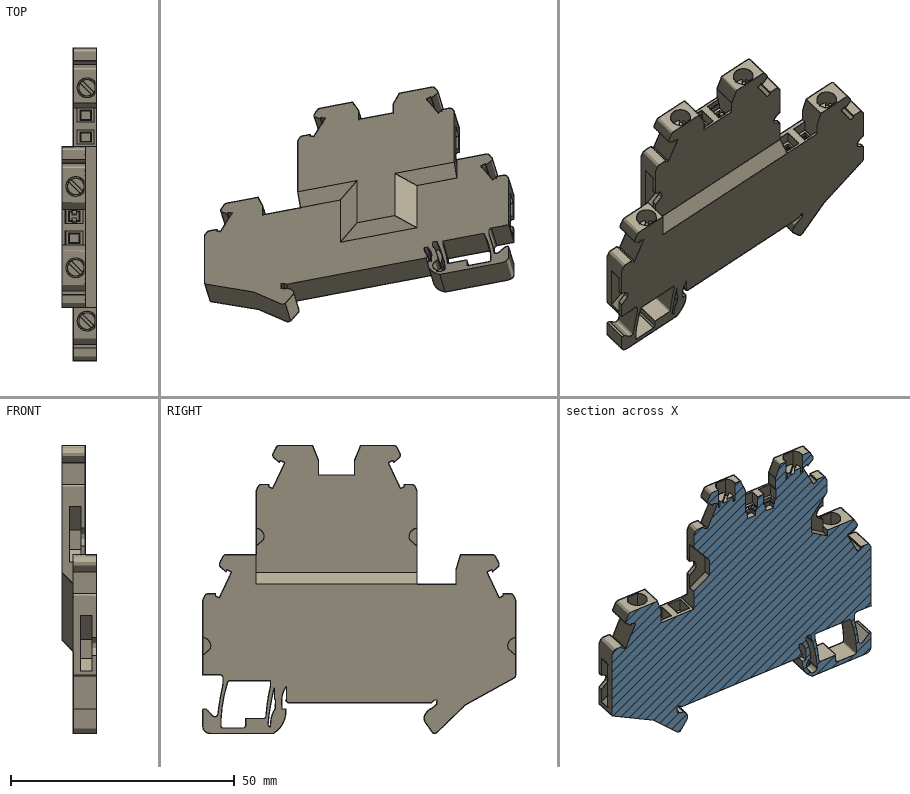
import cadquery as cq


total_thickness = 7.72
total_length = 69.9
total_height = 64.35
slab_thickness = 5.2
tower_center_y = -5.07
tower_half_length = 17.98
ear_drop = 24.4
ear_height = 10.2
floor_drop = 6.6
bevel_height = 2.6
tongue_tip_z = 20.86
tongue_half_width = 4.33
tongue_flare = 4.47

lower_x = total_thickness - slab_thickness
half_length = total_length / 2
lower_top = total_height - ear_drop
lower_floor = lower_top - floor_drop
lower_shoulder = lower_top - ear_height
tower_floor = total_height - floor_drop
tower_shoulder = total_height - ear_height
tower_bottom = lower_floor + bevel_height
tower_ends = (tower_center_y - tower_half_length, tower_center_y + tower_half_length)

lower_ear_length = 13.4
tower_ear_length = 14.0
crest_length = 12.35
tower_crest_round = 0.43
mid_block_inset = 8.0

end_wall_bottom = 13.1
underside_z = 6.85
foot_corner_radius = 1.6
foot_recess_depth = slab_thickness / 2

screw_inset = 8.9
screw_x = 3.08
screw_hole_radius = 2.2
screw_hole_flat_x = 4.88
screw_hole_depth = 5.0
screw_head_radius = 1.85
screw_head_height = 1.5
screw_slot_width = 0.75
screw_slot_depth = 0.8
screw_slot_angle = -45

socket_length = 3.2
socket_pitch = 4.9
socket_right_x = 4.67
socket_depth = 3.0
socket_left_x = 0.85
tower_socket_mouth_x = 0.64
contact_center_x = 2.76
contact_sizes = ((2.55, 2.33), (2.12, 1.9))
contact_step_depth = 1.0
bridge_diameter = 1.0
bridge_spacing = 1.65

entry_left_x = 1.66
entry_right_x = 4.2
entry_depth = 4.2
entry_drops = (13.62, 18.95, 23.25, 26.0)
notch_top_drop = 18.5
notch_bottom_drop = 22.5
notch_depth = 1.8


def side_plate(wire, x_start, thickness):
    """Extrude a closed (Y, Z) outline along +X from x_start."""
    return wire.close().extrude(thickness).translate((x_start, 0, 0))


def outline(start):
    """Begin a (Y, Z) outline."""
    return cq.Workplane("YZ").moveTo(*start)


def box(x_range, y_range, z_range):
    lows, highs = zip(x_range, y_range, z_range)
    sizes = [high - low for low, high in zip(lows, highs)]
    return cq.Workplane("XY").box(*sizes, centered=False).translate(lows)


def inward(end_y):
    """Direction along Y from an end of a slab towards its middle."""
    return -1 if end_y > tower_center_y else 1


def ear(end_y, top_z, x_start, length, crest_round=0):
    """Screw ear with its rounded shoulder and marker-snap groove."""
    direction = inward(end_y)

    def at(inset, drop):
        return end_y + direction * inset, top_z - drop

    wire = (
        outline(at(0, ear_height))
        .lineTo(*at(0.08, 9.95))
        .lineTo(*at(0.4, 9.3))
        .threePointArc(at(0.736, 8.879), at(1.25, 8.72))
        .lineTo(*at(2.9, 8.72))
        .lineTo(*at(2.85, 9.2))
        .lineTo(*at(3.69, 9.63))
        .lineTo(*at(6.4, 3.9))
        .lineTo(*at(5.4, 3.4))
        .lineTo(*at(5.2, 3.85))
        .lineTo(*at(4.1, 2.9))
        .threePointArc(at(3.72, 2.2), at(3.88, 1.65))
        .lineTo(*at(4.45, 0.55))
        .threePointArc(at(4.75, 0.15), at(5.2, 0))
        .lineTo(*at(crest_length, 0))
    )
    if crest_round:
        round_mid = at(crest_length + 0.7 * crest_round, 0.3 * crest_round)
        wire = wire.threePointArc(round_mid, at(crest_length + crest_round, crest_round))
    wire = wire.lineTo(*at(length, 3.4)).lineTo(*at(length, ear_height))
    return side_plate(wire, x_start, slab_thickness)


def lower_body():
    """Lower slab below its ears, with the rail hook and the spring foot."""
    wire = (
        outline((-half_length, lower_shoulder))
        .lineTo(half_length, lower_shoulder)
        .lineTo(half_length, end_wall_bottom)
        .threePointArc((34.82, 12.6), (34.45, 12.3))
        .lineTo(23.7, 6.37)
        .lineTo(17.28, 0.15)
        .threePointArc((16.85, 0), (16.37, 0.15))
        .lineTo(14.8, 2.4)
        .threePointArc((14.45, 3.4), (14.9, 4.5))
        .threePointArc((15.6, 5.3), (16.3, 5.7))
        .lineTo(17.25, 6.5)
        .lineTo(17.33, 7.43)
        .lineTo(16.8, 7.43)
        .lineTo(16.1, underside_z)
        .lineTo(-15.95, underside_z)
        .lineTo(-16.43, 7.38)
        .lineTo(-16.27, 7.59)
        .lineTo(-16.27, 10.5)
        .threePointArc((-17.05, 8.9), (-17.28, 7.2))
        .lineTo(-17.22, 5.52)
        .lineTo(-16.37, 5.52)
        .lineTo(-16.37, 4.51)
        .threePointArc((-17.15, 2.05), (-19.13, 0))
        .lineTo(foot_corner_radius - half_length, 0)
        .radiusArc((-half_length, foot_corner_radius), foot_corner_radius)
        .lineTo(-half_length, 5.2)
        .lineTo(-34.85, 5.52)
        .lineTo(-34.26, 5.52)
        .lineTo(-32.78, 4.03)
        .threePointArc((-32.1, 3.8), (-31.56, 4.5))
        .threePointArc((-31.22, 6.95), (-30.74, 9.66))
        .threePointArc((-30.52, 10.6), (-30.44, 11.4))
        .lineTo(-30.44, 12.3)
        .threePointArc((-30.55, 12.75), (-31.0, end_wall_bottom))
        .lineTo(-half_length, end_wall_bottom)
    )
    return side_plate(wire, lower_x, slab_thickness)


def foot_window():
    """Opening through the spring foot."""
    wire = (
        outline((-19.82, 11.73))
        .lineTo(-28.9, 11.73)
        .threePointArc((-29.25, 11.6), (-29.45, 11.15))
        .threePointArc((-30.4, 7.2), (-30.84, 3.2))
        .lineTo(-30.84, 1.6)
        .threePointArc((-30.75, 1.36), (-30.5, 1.27))
        .lineTo(-25.75, 1.27)
        .lineTo(-25.35, 1.65)
        .lineTo(-25.35, 3.4)
        .lineTo(-21.3, 3.4)
        .threePointArc((-21.0, 3.5), (-20.87, 3.8))
        .threePointArc((-20.45, 7.5), (-19.82, 10.7))
    )
    return side_plate(wire, lower_x, slab_thickness)


def spring_slot():
    """Slot beside the spring arm: a recess in the -X half and a narrow through slit."""
    recess = (
        outline((-17.47, 11.6))
        .threePointArc((-18.0, 12.15), (-18.6, 11.6))
        .threePointArc((-19.45, 7.9), (-20.15, 3.9))
        .lineTo(-20.35, 1.9)
        .threePointArc((-19.85, 1.2), (-18.34, 1.85))
        .threePointArc((-17.8, 2.6), (-17.5, 3.77))
        .threePointArc((-17.8, 4.6), (-18.72, 5.4))
        .threePointArc((-18.4, 8.0), (-17.47, 11.0))
    )
    slit = (
        outline((-18.98, 10.14))
        .lineTo(-18.95, 7.86)
        .lineTo(-18.72, 7.35)
        .lineTo(-18.82, 5.52)
        .threePointArc((-19.45, 4.2), (-19.8, 2.7))
        .lineTo(-19.85, 1.4)
        .lineTo(-20.35, 1.9)
        .lineTo(-20.15, 3.9)
        .threePointArc((-19.7, 6.8), (-19.12, 9.6))
    )
    return side_plate(recess, lower_x, foot_recess_depth).union(
        side_plate(slit, lower_x, slab_thickness)
    )


def foot_corner_recesses():
    """Shallow reliefs in the -X half, at the spring latch and under the rail hook."""
    latch = outline((-15.56, 10.6)).lineTo(-15.56, 9.77).lineTo(-16.3, 7.7).lineTo(-16.4, 10.6)
    hook = outline((17.33, 6.7)).lineTo(17.33, 5.9).lineTo(16.7, 5.5).lineTo(15.6, 5.3)
    return side_plate(latch, lower_x, foot_recess_depth).union(
        side_plate(hook, lower_x, foot_recess_depth)
    )


def lower_slab():
    """Lower slab with its ears, cleared above its floor where the tower stands."""
    slab = lower_body().cut(foot_window()).cut(spring_slot()).cut(foot_corner_recesses())
    slab_x = (lower_x, total_thickness)
    block_y = (mid_block_inset - half_length, half_length - mid_block_inset)
    slab = slab.union(box(slab_x, block_y, (end_wall_bottom, lower_floor)))
    for end_y in (-half_length, half_length):
        slab = slab.union(ear(end_y, lower_top, lower_x, lower_ear_length))
    return slab.cut(box(slab_x, tower_ends, (lower_floor, total_height)))


def bevel_wedge(tall_x, thin_x):
    """Wedge along the whole tower, bevel_height tall at tall_x and tapering out at thin_x."""
    wedge = (
        cq.Workplane("XZ")
        .moveTo(tall_x, lower_floor)
        .lineTo(thin_x, lower_floor)
        .lineTo(tall_x, tower_bottom)
        .close()
        .extrude(-2 * tower_half_length)
    )
    return wedge.translate((0, tower_ends[0], 0))


def tower_slab():
    """Upper slab; its underside slopes from the -X face in to the lower slab."""
    slab = box((0, slab_thickness), tower_ends, (lower_floor, tower_shoulder))
    middle = (tower_ends[0] + mid_block_inset, tower_ends[1] - mid_block_inset)
    slab = slab.union(box((0, slab_thickness), middle, (lower_floor, tower_floor)))
    for end_y in tower_ends:
        slab = slab.union(ear(end_y, total_height, 0, tower_ear_length, tower_crest_round))
    return slab.cut(bevel_wedge(0, lower_x))


def tongue():
    """Keying tongue below the tower, flaring towards the lower slab."""
    def section(x, half_width, tip_z):
        corners = (
            (tower_center_y - half_width, tip_z),
            (tower_center_y + half_width, tip_z),
            (tower_center_y + half_width, tower_bottom),
            (tower_center_y - half_width, tower_bottom),
        )
        return cq.Wire.makePolygon([cq.Vector(x, y, z) for y, z in corners], close=True)

    face = section(0, tongue_half_width, tongue_tip_z)
    root = section(lower_x, tongue_half_width + tongue_flare, tongue_tip_z - bevel_height)
    return cq.Workplane(obj=cq.Solid.makeLoft([face, root], True))


def screw_hole(end_y, top_z, x_start):
    """Blind screw hole with a flat side, leaving the slotted screw head standing in it."""
    center = (x_start + screw_x, end_y + inward(end_y) * screw_inset)
    bottom_z = top_z - screw_hole_depth
    head_top = bottom_z + screw_head_height

    def cylinder(radius, height):
        return cq.Workplane("XY", origin=(*center, bottom_z)).circle(radius).extrude(height)

    slot = (
        cq.Workplane("XY", origin=(*center, head_top))
        .transformed(rotate=(0, 0, screw_slot_angle))
        .rect(2 * screw_head_radius, screw_slot_width)
        .extrude(-screw_slot_depth)
    )
    head = cylinder(screw_head_radius, screw_head_height).cut(slot)
    y_range = (center[1] - screw_hole_radius, center[1] + screw_hole_radius)
    beyond_flat = box(
        (x_start + screw_hole_flat_x, x_start + slab_thickness), y_range, (bottom_z, top_z)
    )
    return cylinder(screw_hole_radius, screw_hole_depth).cut(head).cut(beyond_flat)


def jumper_sockets(first_y, floor_z, x_start, mouth_x):
    """Two stepped sockets; first_y is the +Y edge of the first one."""
    cutter = cq.Workplane("XY")
    socket_floor = floor_z - socket_depth
    for index in range(2):
        y_max = first_y - index * socket_pitch
        y_min = y_max - socket_length
        right_x = x_start + socket_right_x
        for left_x, bottom_z in ((mouth_x, floor_z - socket_depth / 2), (socket_left_x, socket_floor)):
            cutter = cutter.union(box((x_start + left_x, right_x), (y_min, y_max), (bottom_z, floor_z)))
        for step, (width, length) in enumerate(contact_sizes, start=1):
            contact = (
                cq.Workplane("XY", origin=(x_start + contact_center_x, (y_min + y_max) / 2, socket_floor))
                .rect(width, length)
                .extrude(-step * contact_step_depth)
            )
            cutter = cutter.union(contact)
    return cutter


def bridge_pins(first_y):
    """Two round bars lying across the edges of the first tower socket contact."""
    middle_y = first_y - socket_length / 2
    start_x = contact_center_x - bridge_diameter / 2
    pins = cq.Workplane("XY")
    for side in (-1, 1):
        center_y = middle_y + side * bridge_spacing / 2
        pin = (
            cq.Workplane("YZ", origin=(start_x, center_y, tower_floor - socket_depth))
            .circle(bridge_diameter / 2)
            .extrude(bridge_diameter)
        )
        pins = pins.union(pin)
    return pins


def wire_entry(end_y, top_z, x_start):
    """Tapered wire funnel in the end of a slab, and the notch in its +X wall."""
    direction = inward(end_y)

    def at(inset, drop):
        return end_y + direction * inset, top_z - drop

    mouth_top, back_top, back_bottom, mouth_bottom = entry_drops
    funnel = (
        outline(at(0, mouth_top))
        .lineTo(*at(entry_depth, back_top))
        .lineTo(*at(entry_depth, back_bottom))
        .lineTo(*at(0, mouth_bottom))
    )
    notch = (
        outline(at(0, notch_top_drop))
        .threePointArc(at(1.2, notch_top_drop + 0.55), at(notch_depth, notch_top_drop + 1.9))
        .threePointArc(at(1.72, notch_top_drop + 2.35), at(1.45, notch_top_drop + 2.75))
        .lineTo(*at(0, notch_bottom_drop))
    )
    notch_x = x_start + entry_right_x
    return side_plate(funnel, x_start + entry_left_x, entry_right_x - entry_left_x).union(
        side_plate(notch, notch_x, slab_thickness - entry_right_x)
    )


result = lower_slab().union(tower_slab()).union(tongue())
result = result.union(bevel_wedge(slab_thickness, total_thickness))

slab_ends = (
    (half_length, lower_top, lower_x),
    (-half_length, lower_top, lower_x),
    (tower_ends[1], total_height, 0),
    (tower_ends[0], total_height, 0),
)
for slab_end in slab_ends:
    result = result.cut(screw_hole(*slab_end))
    result = result.cut(wire_entry(*slab_end))

lower_socket_y = half_length - lower_ear_length
tower_socket_y = tower_ends[1] - tower_ear_length
result = result.cut(jumper_sockets(lower_socket_y, lower_floor, lower_x, socket_left_x))
result = result.cut(jumper_sockets(tower_socket_y, tower_floor, 0, tower_socket_mouth_x))
result = result.union(bridge_pins(tower_socket_y))